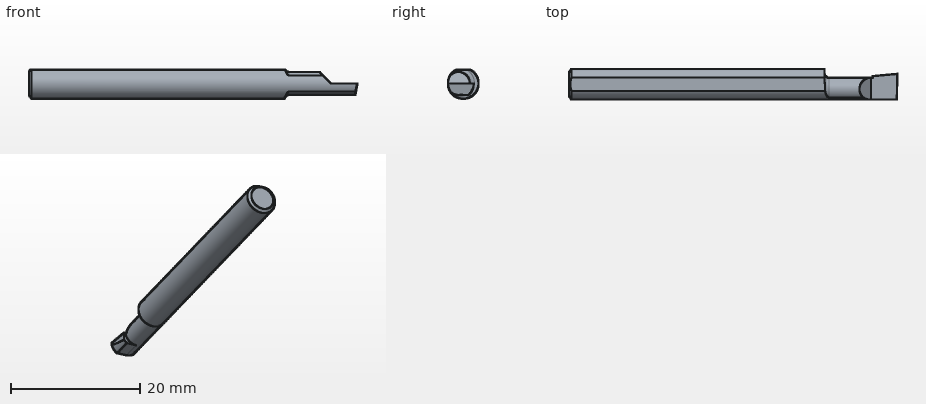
import cadquery as cq
import math

total_length = 50.8
shank_radius = 2.4
flat_height = 2.15
end_chamfer_length = 0.4
end_chamfer_depth = 0.5

shank_end = 39.5
neck_radius = 1.8
neck_offset = -0.75
neck_fillet = 0.7

face_start = 46.7
ramp_angle = 45.0
head_start = 46.95
head_start_edge = 1.25
tip_edge = 1.65
end_relief_angle = 10.0
end_skew_angle = 1.5

margin = 2.55


def rod(radius, length):
    """Cylinder from x = 0 along the shank axis."""
    return cq.Workplane("YZ").circle(radius).extrude(length)


def make_flat_cutter():
    """Space above the clamping flat."""
    return (
        cq.Workplane("XY")
        .workplane(offset=flat_height)
        .rect(2 * total_length, 4 * shank_radius)
        .extrude(margin)
    )


def make_shank():
    """Round shank with a conical rear chamfer and a full-length clamping flat."""
    shank = (
        cq.Workplane("XY")
        .moveTo(0, 0)
        .lineTo(0, shank_radius - end_chamfer_depth)
        .lineTo(end_chamfer_length, shank_radius)
        .lineTo(shank_end, shank_radius)
        .lineTo(shank_end, 0)
        .close()
        .revolve(360, (0, 0, 0), (1, 0, 0))
    )
    return shank.cut(make_flat_cutter())


def make_neck():
    """Eccentric neck flaring into the shank shoulder through a concave fillet."""
    fillet_end = shank_end + neck_fillet
    flare_radius = neck_radius + neck_fillet
    arc_middle = (
        fillet_end - neck_fillet * math.sin(math.radians(45)),
        flare_radius - neck_fillet * math.cos(math.radians(45)),
    )
    neck = (
        cq.Workplane("XY")
        .moveTo(shank_end, 0)
        .lineTo(shank_end, flare_radius)
        .threePointArc(arc_middle, (fillet_end, neck_radius))
        .lineTo(total_length, neck_radius)
        .lineTo(total_length, 0)
        .close()
        .revolve(360, (0, 0, 0), (1, 0, 0))
        .translate((0, neck_offset, 0))
    )
    return neck.intersect(rod(shank_radius, total_length)).cut(make_flat_cutter())


def make_head():
    """Widening cutting edge on the +Y side, as deep as the neck and rounded below for clearance."""
    clearance_radius = tip_edge - neck_offset
    clearance_rod = rod(clearance_radius, total_length).translate((0, neck_offset, 0))
    head = (
        cq.Workplane("XY")
        .moveTo(head_start, neck_offset)
        .lineTo(head_start, head_start_edge)
        .lineTo(total_length, tip_edge)
        .lineTo(total_length, neck_offset)
        .close()
        .extrude(-neck_radius)
    )
    return head.intersect(rod(shank_radius, total_length)).intersect(clearance_rod)


def make_face_cutter():
    """Space above the cutting face, with a ramp up to the top of the neck."""
    ramp_run = shank_radius / math.tan(math.radians(ramp_angle))
    return (
        cq.Workplane("XZ")
        .moveTo(face_start, 0)
        .lineTo(face_start - ramp_run, shank_radius)
        .lineTo(total_length + margin, shank_radius)
        .lineTo(total_length + margin, 0)
        .close()
        .extrude(2 * shank_radius, both=True)
    )


def make_end_cutter():
    """Space beyond the end face, which leans back below and away from the cutting corner."""
    relief_run = shank_radius * math.tan(math.radians(end_relief_angle))
    return (
        cq.Workplane("XZ")
        .moveTo(total_length, 0)
        .lineTo(total_length - relief_run, -shank_radius)
        .lineTo(total_length + margin, -shank_radius)
        .lineTo(total_length + margin, 0)
        .close()
        .extrude(3 * shank_radius, both=True)
        .rotate((total_length, tip_edge, 0), (total_length, tip_edge, 1), -end_skew_angle)
    )


result = (
    make_shank()
    .union(make_neck())
    .union(make_head())
    .cut(make_face_cutter())
    .cut(make_end_cutter())
)